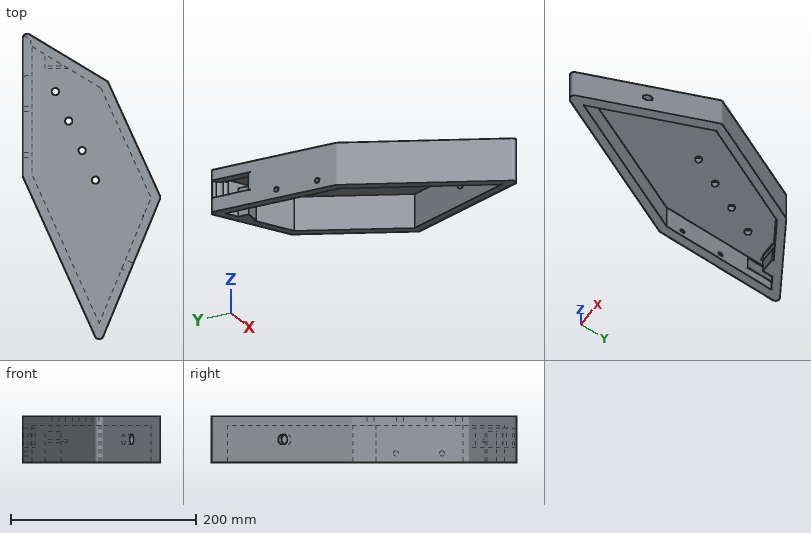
import cadquery as cq
import math

THICKNESS = 50.0
WALL = 10.0
CORNER_RADIUS = 5.0
CORNERS = [(0, 333.7), (92.0, 278.3), (149.0, 153.3), (82.8, -7.3), (0, 175.8)]

TOP_HOLE_DIAMETER = 7.5
TOP_HOLE_COUNT = 4
TOP_HOLE_FIRST = (35.3, 267.5)
TOP_HOLE_PITCH = 35.0
TOP_HOLE_TILT = math.radians(24.4)

WINDOW_FLOOR = 16.8
WINDOW_TOP = 37.5
WINDOW_UPPER_Y = 327.5
WINDOW_LOWER_Y = 280.5
WINDOW_INNER_X = 13.0
WINDOW_LIP_RADIUS = 4.5

BLOCK_FRONT_X = 23.7
BLOCK_BACK_X = 41.2
BLOCK_LOWER_Y = 295.0
BLOCK_UPPER_Y = 308.3
BLOCK_TOP = 33.5
PIN_DIAMETER = 3.3
PIN_Y = 294.5
PIN_Z = 23.7
PIN_END_X = 51.0

SIDE_HOLE_DIAMETER = 5.5
SIDE_HOLE_Z = 10.2
SIDE_HOLE_YS = (249.0, 199.2)

END_HOLE_DIAMETER = 11.0
END_HOLE_X = 117.7

OVERCUT = 3.3


def housing():
    outer = cq.Workplane("XY").polyline(CORNERS).close().extrude(THICKNESS)
    outer = outer.edges("|Z").fillet(CORNER_RADIUS)
    cavity = cq.Workplane("XY").polyline(CORNERS).close().offset2D(-WALL).extrude(THICKNESS - WALL)
    return outer.cut(cavity)


def rod(start, direction, diameter, length):
    axis = cq.Vector(*direction).normalized()
    return cq.Workplane(cq.Solid.makeCylinder(diameter / 2, length, cq.Vector(*start), axis))


def wall_drill(point, direction, diameter):
    """Cutter through one wall thickness, entering at a point on the outer surface."""
    start = cq.Vector(*point) - cq.Vector(*direction).normalized() * OVERCUT
    return rod(start.toTuple(), direction, diameter, WALL + 2 * OVERCUT)


def top_hole(index):
    travel = index * TOP_HOLE_PITCH
    x = TOP_HOLE_FIRST[0] + travel * math.sin(TOP_HOLE_TILT)
    y = TOP_HOLE_FIRST[1] - travel * math.cos(TOP_HOLE_TILT)
    return wall_drill((x, y, THICKNESS), (0, 0, -1), TOP_HOLE_DIAMETER)


def window():
    """Opening with a rounded, stepped upper end and a rounded lower lip."""
    lip_y = WINDOW_LOWER_Y + WINDOW_LIP_RADIUS
    bulge = WINDOW_LIP_RADIUS * math.sqrt(0.5)
    profile = (
        cq.Workplane("XY", origin=(0, 0, WINDOW_FLOOR))
        .moveTo(-OVERCUT, WINDOW_UPPER_Y)
        .lineTo(0.5, WINDOW_UPPER_Y)
        .threePointArc((3.5, 326.8), (5.3, 325.0))
        .threePointArc((8.0, 323), (9.0, 320.5))
        .lineTo(9.0, 318.5)
        .threePointArc((10.5, 316.2), (WINDOW_INNER_X, 314.5))
        .lineTo(WINDOW_INNER_X, lip_y)
        .lineTo(WINDOW_LIP_RADIUS, lip_y)
        .threePointArc((WINDOW_LIP_RADIUS - bulge, WINDOW_LOWER_Y + bulge), (0, WINDOW_LOWER_Y))
        .lineTo(-OVERCUT, WINDOW_LOWER_Y)
        .close()
    )
    return profile.extrude(WINDOW_TOP - WINDOW_FLOOR)


def block():
    return cq.Workplane("XY", origin=(BLOCK_FRONT_X, BLOCK_LOWER_Y, 0)).box(
        BLOCK_BACK_X - BLOCK_FRONT_X, BLOCK_UPPER_Y - BLOCK_LOWER_Y, BLOCK_TOP, centered=False
    )


def pin():
    return rod((BLOCK_FRONT_X, PIN_Y, PIN_Z), (1, 0, 0), PIN_DIAMETER, PIN_END_X - BLOCK_FRONT_X)


def side_hole(y):
    return wall_drill((0, y, SIDE_HOLE_Z), (1, 0, 0), SIDE_HOLE_DIAMETER)


def end_hole():
    (right_x, right_y), (tip_x, tip_y) = CORNERS[2:4]
    run = right_x - tip_x
    rise = right_y - tip_y
    y = tip_y + (END_HOLE_X - tip_x) * rise / run
    return wall_drill((END_HOLE_X, y, THICKNESS / 2), (-rise, run, 0), END_HOLE_DIAMETER)


result = housing().cut(window()).union(block()).union(pin()).cut(end_hole())
for hole_index in range(TOP_HOLE_COUNT):
    result = result.cut(top_hole(hole_index))
for hole_y in SIDE_HOLE_YS:
    result = result.cut(side_hole(hole_y))